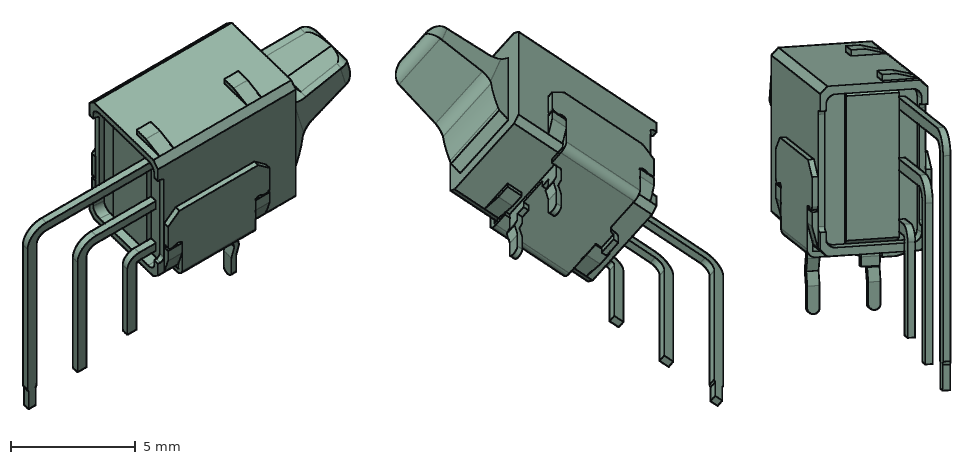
import cadquery as cq
import math


housing_width = 4.5
housing_length = 7.0
housing_height = 7.03
housing_chamfer = 0.3
end_y = -housing_length / 2

rim_side_wall = 0.25
rim_top_wall = 0.35
recess_width = housing_width - 2 * rim_side_wall
recess_height = housing_height - 2 * rim_top_wall
recess_corner_radius = 0.4
recess_side_draft = 0.05
recess_depth = 0.52
floor_y = end_y + recess_depth

notch_depth = 0.3
notch_height = 5.0
notch_corner_radius = 0.18

block_left_x = -1.07
block_front_y = end_y + notch_depth
block_edge_drop = 0.18

terminal_left_x = 1.13
terminal_width = 0.32
terminal_thickness = 0.47
terminal_pitch = 2.53
terminal_count = 3
terminal_root = 0.17
upper_terminal_reach = -9.49
upper_terminal_tip = -7.9
tip_step = 0.52
wide_bend_radius = 0.48
tight_bend_radius = 0.13
tip_length = 1.07
tip_taper_length = 0.15
tip_inset = 0.05

lever_width = 3.16
nose_width = 2.73
nose_radius = 0.58
nose_y = 6.58
nose_z = 1.07
lever_length = 2.5
lever_tilt = 13.0
upper_slope = 7.6
lower_slope = 21.2
lever_root_y = housing_length / 2 - 0.17

root_top = (lever_root_y, 2.26)
upper_fillet_start = (3.76, 1.7)
upper_fillet_middle = (4.13, 1.43)
upper_fillet_end = (4.56, 1.4)
lower_fillet_start = (4.8, -0.25)
lower_fillet_middle = (4.53, -0.48)
lower_fillet_end = (4.38, -0.78)
drum_middle = (4.25, -1.57)
drum_end = (4.03, -2.31)
drum_corner = (3.96, -2.48)
root_bottom = (lever_root_y, -2.85)

groove_root_width = 2.36
groove_depth = 0.35
groove_slope = 8.5
groove_length = 3.33

bracket_thickness = 0.25
bracket_width = housing_width + 2 * bracket_thickness
bracket_front_y = 1.98
bracket_rear_y = -3.18
bracket_top_z = 0.32
bracket_chamfer = 0.58
bracket_corner_radius = 0.37
bracket_bottom_z = -housing_height / 2 - bracket_thickness
clearance_length = 0.72
clearance_top_z = -1.66
relief_radius = 0.2
flank_corner_radius = 0.17
waist_front_y = bracket_front_y - clearance_length
waist_rear_y = bracket_rear_y + clearance_length

wedge_height = bracket_thickness
wedge_top_z = -1.71
wedge_slope_z = -2.3
top_wedge_inner_x = 0.43
top_wedge_slope_x = 1.03

leg_face_y = 1.03
leg_outer_x = 1.53
leg_width = 0.52
leg_tip_z = -6.91
kink_start_z = -4.6
kink_step = 0.57
kink_offset = 0.15
shoulder_inner_x = 0.62
shoulder_bottom_z = -4.15
tab_width = 0.78
tab_face_y = -3.0
tab_bend_radius = 0.22
tab_root_radius = 0.27


def box(x_range, y_range, z_range):
    """Box given by its limits along each axis."""
    (x0, x1), (y0, y1), (z0, z1) = x_range, y_range, z_range
    return cq.Workplane("XY").box(x1 - x0, y1 - y0, z1 - z0, centered=False).translate((x0, y0, z0))


def shell():
    """Chamfered housing with the recess and side notches at its terminal end."""
    body = cq.Workplane("XY").box(housing_width, housing_length, housing_height)
    body = body.edges("|Y").chamfer(housing_chamfer)

    def recess_section(y, width):
        return (
            cq.Sketch().rect(width, recess_height).vertices().fillet(recess_corner_radius)
            .moved(cq.Location(cq.Plane(origin=(0, y, 0), xDir=(1, 0, 0), normal=(0, -1, 0))))
        )

    recess = cq.Workplane("XY").placeSketch(
        recess_section(end_y, recess_width),
        recess_section(floor_y, recess_width - 2 * recess_side_draft),
    ).loft()
    notch = (
        box((-housing_width, housing_width), (end_y - notch_depth, block_front_y),
            (-notch_height / 2, notch_height / 2))
        .edges("|X and >Y").fillet(notch_corner_radius)
    )
    return body.cut(recess).cut(notch)


def terminal_block():
    """Block between the recess top and bottom, sloped back along both of those edges."""
    half = recess_height / 2
    front_half = half - block_edge_drop
    profile = [(floor_y + terminal_root, half), (floor_y, half), (block_front_y, front_half),
               (block_front_y, -front_half), (floor_y, -half), (floor_y + terminal_root, -half)]
    block = cq.Workplane("YZ").polyline(profile).close().extrude(terminal_left_x - block_left_x)
    return block.translate((block_left_x, 0, 0))


def terminal(index):
    """Right-angle terminal, counted from the longest at the top."""
    top_z = terminal_pitch + terminal_thickness / 2 - index * terminal_pitch
    bottom_z = top_z - terminal_thickness
    outer_y = upper_terminal_reach + index * terminal_pitch
    inner_y = outer_y + terminal_thickness
    tip_z = upper_terminal_tip + index * tip_step
    inner_radius = tight_bend_radius if index == terminal_count - 1 else wide_bend_radius
    outer_radius = inner_radius + terminal_thickness
    start_y = floor_y + terminal_root
    bend_y = outer_y + outer_radius
    bend_z = top_z - outer_radius
    outline = (
        cq.Workplane("YZ", origin=(terminal_left_x, 0, 0))
        .moveTo(start_y, top_z)
        .lineTo(bend_y, top_z)
        .radiusArc((outer_y, bend_z), -outer_radius)
        .lineTo(outer_y, tip_z)
        .lineTo(inner_y, tip_z)
        .lineTo(inner_y, bend_z)
        .radiusArc((bend_y, bottom_z), inner_radius)
        .lineTo(start_y, bottom_z)
        .close()
    )
    return outline.extrude(terminal_width)


def narrow_tip():
    """Material removed on both faces of the longest terminal near its tip."""
    start_z = upper_terminal_tip + tip_length + tip_taper_length
    shoulder_z = upper_terminal_tip + tip_length
    outer_y = upper_terminal_reach
    inner_y = outer_y + terminal_thickness
    cut = cq.Workplane("XY")
    for face_y, inward in ((outer_y, tip_inset), (inner_y, -tip_inset)):
        points = [(face_y, start_z), (face_y + inward, shoulder_z),
                  (face_y + inward, upper_terminal_tip), (face_y, upper_terminal_tip)]
        side = cq.Workplane("YZ", origin=(terminal_left_x, 0, 0)).polyline(points).close()
        cut = cut.add(side.extrude(terminal_width))
    return cut.combine()


def lever():
    """Toggle lever: a side profile trimmed to a tapered plan with rounded nose corners."""
    upper = math.radians(upper_slope)
    lower = math.radians(lower_slope)
    nose_top = (nose_y - nose_radius * math.sin(upper), nose_z + nose_radius * math.cos(upper))
    nose_bottom = (nose_y + nose_radius * math.sin(lower), nose_z - nose_radius * math.cos(lower))
    profile = (
        cq.Workplane("YZ", origin=(-lever_width / 2, 0, 0))
        .moveTo(*root_top)
        .lineTo(*upper_fillet_start)
        .threePointArc(upper_fillet_middle, upper_fillet_end)
        .lineTo(*nose_top)
        .threePointArc((nose_y + nose_radius, nose_z), nose_bottom)
        .lineTo(*lower_fillet_start)
        .threePointArc(lower_fillet_middle, lower_fillet_end)
        .threePointArc(drum_middle, drum_end)
        .lineTo(*drum_corner)
        .lineTo(*root_bottom)
        .close()
        .extrude(lever_width)
    )

    tilt = math.radians(lever_tilt)
    plan_plane = cq.Plane(
        origin=(0, nose_y, nose_z),
        xDir=(1, 0, 0),
        normal=(0, -math.sin(tilt), math.cos(tilt)),
    )
    root = -2 * lever_length
    half_lever = lever_width / 2
    half_nose = nose_width / 2
    half_tip = half_nose - nose_radius
    plan = (
        cq.Workplane(plan_plane)
        .moveTo(-half_lever, root)
        .lineTo(-half_lever, -lever_length)
        .lineTo(-half_nose, 0)
        .radiusArc((-half_tip, nose_radius), nose_radius)
        .lineTo(half_tip, nose_radius)
        .radiusArc((half_nose, 0), nose_radius)
        .lineTo(half_lever, -lever_length)
        .lineTo(half_lever, root)
        .close()
        .extrude(housing_height, both=True)
    )
    return profile.intersect(plan).cut(lever_groove())


def lever_groove():
    """V groove running from the root of the lever out through its nose."""
    slope = math.radians(groove_slope)
    groove_plane = cq.Plane(
        origin=(0, *upper_fillet_end),
        xDir=(-1, 0, 0),
        normal=(0, math.cos(slope), math.sin(slope)),
    )
    half = groove_root_width
    rise = groove_depth
    return (
        cq.Workplane(groove_plane)
        .polyline([(0, -groove_depth), (half, rise), (-half, rise)])
        .close()
        .extrude(groove_length)
    )


def wedges():
    """Latch wedges at both ends of the top, bottom and side faces."""
    half_x = housing_width / 2
    half_z = housing_height / 2
    slope_end_x = half_x - housing_chamfer
    slope_end_z = -half_z + housing_chamfer
    side = [(half_x - rim_side_wall / 2, wedge_top_z), (half_x + wedge_height, wedge_top_z),
            (half_x + wedge_height, wedge_slope_z), (half_x, slope_end_z),
            (half_x - rim_side_wall / 2, slope_end_z)]
    top = [(top_wedge_inner_x, half_z - rim_top_wall / 2), (top_wedge_inner_x, half_z + wedge_height),
           (top_wedge_slope_x, half_z + wedge_height), (slope_end_x, half_z),
           (slope_end_x, half_z - rim_top_wall / 2)]
    body = cq.Workplane("XY")
    for front_y in (bracket_front_y, waist_rear_y):
        for outline, mirror_plane in ((side, "YZ"), (top, "XY")):
            wedge = (
                cq.Workplane("XZ", origin=(0, front_y, 0))
                .polyline(outline).close().extrude(clearance_length)
            )
            body = body.add(wedge).add(wedge.mirror(mirror_plane))
    return body


def make_switch():
    """Housing with its lever, latch wedges and terminals as one solid."""
    switch = shell().union(terminal_block()).union(lever())
    for wedge in wedges().vals():
        switch = switch.union(cq.Workplane(wedge))
    for index in range(terminal_count):
        switch = switch.union(terminal(index))
    return switch.cut(narrow_tip())


def bracket_channel():
    """U-shaped sheet around the bottom and sides of the housing, with its corner clearances."""
    half = bracket_width / 2
    channel = box((-half, half), (bracket_rear_y, bracket_front_y), (bracket_bottom_z, bracket_top_z))
    channel = channel.edges("|Y and <Z").fillet(bracket_corner_radius)
    channel = channel.edges("|X and >Z").chamfer(bracket_chamfer)
    channel = channel.cut(box((-housing_width / 2, housing_width / 2), (bracket_rear_y, bracket_front_y),
                              (-housing_height / 2, bracket_top_z)))
    clearance_z = (bracket_bottom_z, clearance_top_z)
    for y_range, relief_y in (
        ((waist_front_y, bracket_front_y), waist_front_y + relief_radius),
        ((bracket_rear_y, waist_rear_y), waist_rear_y - relief_radius),
    ):
        relief = (
            cq.Workplane("YZ", origin=(-half, 0, 0))
            .center(relief_y, clearance_top_z - relief_radius / 2)
            .circle(relief_radius).extrude(bracket_width)
        )
        channel = channel.cut(box((-half, half), y_range, clearance_z)).cut(relief)
    channel = channel.cut(box((-leg_outer_x, leg_outer_x), (leg_face_y, waist_front_y),
                              (bracket_bottom_z, -housing_height / 2)))
    for end_face in ("<Y", ">Y"):
        channel = channel.faces(end_face).edges("|X and <Z").fillet(flank_corner_radius)
    return channel


def leg():
    """Kinked leg with a rounded tip and a short wide shoulder, on the +X side."""
    top_z = -housing_height / 2
    levels = [(leg_face_y, top_z), (leg_face_y, kink_start_z),
              (leg_face_y + kink_offset, kink_start_z - kink_step),
              (leg_face_y, kink_start_z - 2 * kink_step), (leg_face_y, leg_tip_z)]
    back = [(y - bracket_thickness, z) for y, z in reversed(levels)]
    strip = cq.Workplane("YZ").polyline(levels + back).close().extrude(leg_outer_x)
    tip_radius = leg_width / 2
    tip_z = leg_tip_z + tip_radius
    leg_inner_x = leg_outer_x - leg_width
    face = (
        cq.Workplane("XZ", origin=(0, bracket_front_y, 0))
        .moveTo(shoulder_inner_x, top_z)
        .lineTo(leg_outer_x, top_z)
        .lineTo(leg_outer_x, tip_z)
        .threePointArc((leg_outer_x - tip_radius, leg_tip_z), (leg_inner_x, tip_z))
        .lineTo(leg_inner_x, shoulder_bottom_z)
        .lineTo(shoulder_inner_x, shoulder_bottom_z)
        .close()
        .extrude(bracket_front_y)
    )
    return strip.intersect(face)


def rear_tab():
    """Tab bent down behind the bracket bottom, with a rounded root on the side away from the wedge."""
    half = tab_width / 2
    sheet_z = (bracket_bottom_z, -housing_height / 2)
    tab = box((-half, half), (tab_face_y, waist_rear_y), sheet_z)
    drop = box((-half, half), (tab_face_y, tab_face_y + bracket_thickness),
               (shoulder_bottom_z, -housing_height / 2))
    tab = tab.union(drop).edges("|X and <Y and >Z").fillet(tab_bend_radius)
    root = (
        cq.Workplane("XY", origin=(0, 0, bracket_bottom_z))
        .moveTo(-half, waist_rear_y)
        .lineTo(-half, waist_rear_y - tab_root_radius)
        .radiusArc((-half - tab_root_radius, waist_rear_y), -tab_root_radius)
        .close()
        .extrude(bracket_thickness)
    )
    return tab.union(root)


def make_bracket():
    """Mounting bracket with two kinked legs and a rear tab."""
    right_leg = leg()
    return bracket_channel().union(right_leg).union(right_leg.mirror("YZ")).union(rear_tab())


switch = make_switch()
bracket = make_bracket()

result = cq.Compound.makeCompound([switch.solids().val(), bracket.solids().val()])